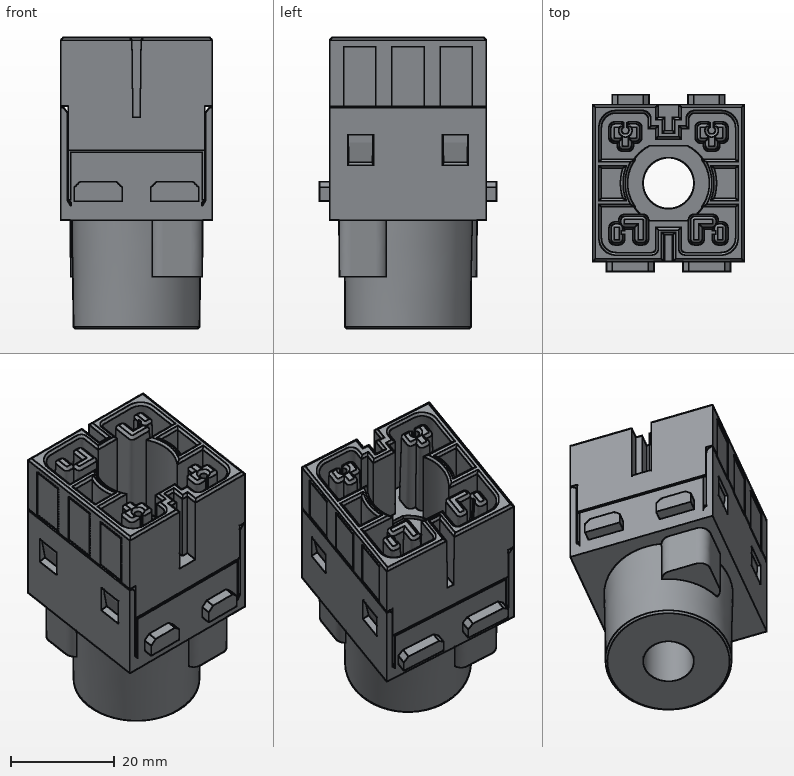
import cadquery as cq
import math

TOTAL_HEIGHT = 56.3
BODY_X = 29.3
BODY_Y = 30.3
BODY_HEIGHT = 35.3
BODY_BOTTOM = TOTAL_HEIGHT - BODY_HEIGHT
HALF_X = BODY_X / 2
HALF_Y = BODY_Y / 2
RIM_CHAMFER = 0.5
MARGIN = 1.0

SLEEVE_BOTTOM_D = 24.4
SLEEVE_TOP_D = 24.9
SLEEVE_CHAMFER = 0.4
BORE_D = 9.8

BLOCK_X_RANGE = (2.8, 12.8)
BLOCK_Y_RANGE = (3.9, 13.35)
BLOCK_HEIGHT = 10.95
BLOCK_CORNER_R = 2.2
BLOCK_DRAFT = 0.4

LUG_BOTTOM = 24.7
LUG_HEIGHT = 3.75
LUG_CHAMFER = 1.1
LUG_REACH = 34.2 / 2
FRONT_LUG_X = (2.8, 12.0)
BACK_LUG_X = (3.75, 10.9)

CHAMBER_DEPTH = 20.0
CHAMBER_FLOOR = TOTAL_HEIGHT - CHAMBER_DEPTH
CHAMBER_HALF_X = 12.95
CHAMBER_BACK_Y = 13.55
CHAMBER_FRONT_Y = -13.4
CHAMBER_CORNER_R = 2.8
RING_INNER_R = 7.9
RING_OUTER_R = 9.3
RIB_OUTER_Y = 4.6
RIB_INNER_Y = 2.9
SEAT_R = 8.1
SEAT_HALF_Y = 7.25
SEAT_DEPTH = 1.0

KEY_DEPTH = 15.4
FRONT_KEY_HALF_X = 0.9
FRONT_KEY_FOOT_HALF_X = 0.7
FRONT_KEY_END_Y = -9.95
FRONT_BOSS_HALF_X = 2.45
FRONT_BOSS_END_Y = -8.55
FRONT_BOSS_CORNER_R = 0.8
BACK_KEY_HALF_X = 2.0
BACK_KEY_STEP_Y = 12.75
BACK_KEY_NECK_HALF_X = 0.75
BACK_KEY_END_Y = 10.15
BACK_BOSS_HALF_X = 3.9
BACK_BOSS_STEP_Y = 10.55
BACK_BOSS_NECK_HALF_X = 2.5
BACK_BOSS_END_Y = 8.5
BACK_BOSS_CORNER_R = 1.2

POST_TOP = TOTAL_HEIGHT - 0.1
POST_CHAMFER = 0.6
POST_DRAFT = 1.2
POST_CORNER_R = 1.2
HEART_X = 8.33
HEART_HALF_X = 3.2
HEART_Y_RANGE = (7.7, 11.85)
HEART_TIP_HALF_X = 1.6
HEART_TIP_Y = 6.12
HEART_NOTCH_Y = 10.2
HEART_NOTCH_R = 0.7
HEART_SLIT_HALF_X = 0.3
ARCH_OUTER_X = 11.5
ARCH_INNER_X = 3.85
ARCH_LEG_WIDTH = 3.05
ARCH_LEG_BOTTOM = -11.95
ARCH_OUTER_LEG_TOP = -7.47
ARCH_BRIDGE_TOP = -6.0
ARCH_BRIDGE_OUTER_X = 9.6
ARCH_GAP_TOP = -8.9
ARCH_POCKET_X = 9.1
ARCH_POCKET_Y_RANGE = (-9.9, -9.2)

STEP_Z = TOTAL_HEIGHT - 13.25
PLATE_TOP = TOTAL_HEIGHT - 13.58
INSERT_DEPTH = 1.42
PLATE_THICKNESS = 1.28
PLATE_LEAD_X = 0.6
PLATE_LEAD_Z = 0.9
SLIT_FOOT_Z = TOTAL_HEIGHT - 31.4
SLIT_END_Z = TOTAL_HEIGHT - 32.5
SLIT_END_DEPTH = 1.95
SLIT_END_TOP_Z = SLIT_END_Z + 0.6

GROOVE_TOP = TOTAL_HEIGHT - 21.8
GROOVE_WIDTH = 0.4
GROOVE_DEPTH = 0.4

RECESS_TOP = TOTAL_HEIGHT - 1.82
RECESS_WIDTH = 6.2
RECESS_PITCH = 9.36
RECESS_DEPTH = 0.2
WINDOW_Y = 9.15
WINDOW_WIDTH = 5.0
WINDOW_TOP = TOTAL_HEIGHT - 18.8
WINDOW_BOTTOM = TOTAL_HEIGHT - 24.7
WINDOW_SIDE_TAPER = 0.3
LATCH_LAND_DEPTH = 0.6
LATCH_RAMP_DEPTH = 1.15
LATCH_LAND_END = TOTAL_HEIGHT - 20.25
LATCH_RAMP_END = TOTAL_HEIGHT - 24.1


def block(x_range, y_range, z_range):
    """Axis-aligned box between the given limits."""
    return (
        cq.Workplane("XY")
        .box(x_range[1] - x_range[0], y_range[1] - y_range[0], z_range[1] - z_range[0], centered=False)
        .translate((x_range[0], y_range[0], z_range[0]))
    )


def cylinder(radius, z_range):
    """Upright cylinder on the central axis."""
    return cq.Workplane("XY").workplane(offset=z_range[0]).circle(radius).extrude(z_range[1] - z_range[0])


def mirrored_x(solid):
    """The solid together with its mirror image across the YZ plane."""
    return solid.union(solid.mirror("YZ"))


def prism_along_y(points, y_range):
    """XZ outline swept between two Y positions."""
    length = y_range[1] - y_range[0]
    return cq.Workplane("XZ", origin=(0, y_range[1], 0)).polyline(points).close().extrude(length)


def make_sleeve():
    sleeve = (
        cq.Workplane("XY")
        .circle(SLEEVE_BOTTOM_D / 2)
        .workplane(offset=BODY_BOTTOM)
        .circle(SLEEVE_TOP_D / 2)
        .loft()
    )
    return sleeve.faces("<Z").edges().chamfer(SLEEVE_CHAMFER)


def make_keying_blocks():
    """Two rounded blocks on opposite corners of the sleeve, half a turn apart."""
    width = BLOCK_X_RANGE[1] - BLOCK_X_RANGE[0]
    depth = BLOCK_Y_RANGE[1] - BLOCK_Y_RANGE[0]
    keying = (
        cq.Workplane("XY", origin=(sum(BLOCK_X_RANGE) / 2, -sum(BLOCK_Y_RANGE) / 2, BODY_BOTTOM))
        .sketch()
        .rect(width, depth)
        .vertices()
        .fillet(BLOCK_CORNER_R)
        .finalize()
        .extrude(-BLOCK_HEIGHT, taper=BLOCK_DRAFT)
    )
    return keying.union(keying.rotate((0, 0, 0), (0, 0, 1), 180))


def make_lug(x_range, y_range):
    lug = block(x_range, y_range, (LUG_BOTTOM, LUG_BOTTOM + LUG_HEIGHT))
    return lug.faces(">Z").edges("|Y").chamfer(LUG_CHAMFER)


def make_lugs():
    front = make_lug(FRONT_LUG_X, (-LUG_REACH, -HALF_Y))
    back = make_lug(BACK_LUG_X, (HALF_Y, LUG_REACH))
    return mirrored_x(front.union(back))


def make_chamber():
    """Cutter for the open chamber, leaving the ribs, ring walls and key bosses standing."""
    levels = (CHAMBER_FLOOR, TOTAL_HEIGHT)
    chamber = block((-CHAMBER_HALF_X, CHAMBER_HALF_X), (CHAMBER_FRONT_Y, CHAMBER_BACK_Y), levels)
    chamber = chamber.edges("|Z").fillet(CHAMBER_CORNER_R)

    ribs = block((-CHAMBER_HALF_X, CHAMBER_HALF_X), (-RIB_OUTER_Y, RIB_OUTER_Y), levels)
    ribs = ribs.cut(cylinder(RING_INNER_R, levels))
    side_pockets = block((-CHAMBER_HALF_X, CHAMBER_HALF_X), (-RIB_INNER_Y, RIB_INNER_Y), levels)
    side_pockets = side_pockets.cut(cylinder(RING_OUTER_R, levels))

    front_boss = block(
        (-FRONT_BOSS_HALF_X, FRONT_BOSS_HALF_X), (CHAMBER_FRONT_Y, FRONT_BOSS_END_Y), levels
    )
    back_boss = block((-BACK_BOSS_HALF_X, BACK_BOSS_HALF_X), (BACK_BOSS_STEP_Y, CHAMBER_BACK_Y), levels)
    back_neck = block(
        (-BACK_BOSS_NECK_HALF_X, BACK_BOSS_NECK_HALF_X), (BACK_BOSS_END_Y, CHAMBER_BACK_Y), levels
    )
    chamber = chamber.cut(ribs.cut(side_pockets)).cut(front_boss).cut(back_boss).cut(back_neck)

    middle = (CHAMBER_FLOOR + TOTAL_HEIGHT) / 2
    for side in (-1, 1):
        front_corner = (side * FRONT_BOSS_HALF_X, CHAMBER_FRONT_Y, middle)
        back_corner = (side * BACK_BOSS_HALF_X, CHAMBER_BACK_Y, middle)
        chamber = chamber.edges(cq.NearestToPointSelector(front_corner)).fillet(FRONT_BOSS_CORNER_R)
        chamber = chamber.edges(cq.NearestToPointSelector(back_corner)).fillet(BACK_BOSS_CORNER_R)
    return chamber


def make_seat():
    """Round seat with two flats, sunk in the chamber floor around the bore."""
    levels = (CHAMBER_FLOOR - SEAT_DEPTH, CHAMBER_FLOOR)
    flats = block((-SEAT_R, SEAT_R), (-SEAT_HALF_Y, SEAT_HALF_Y), levels)
    return cylinder(SEAT_R, levels).intersect(flats)


def make_front_key():
    outline = [
        (-FRONT_KEY_FOOT_HALF_X, TOTAL_HEIGHT - KEY_DEPTH),
        (FRONT_KEY_FOOT_HALF_X, TOTAL_HEIGHT - KEY_DEPTH),
        (FRONT_KEY_HALF_X, TOTAL_HEIGHT),
        (-FRONT_KEY_HALF_X, TOTAL_HEIGHT),
    ]
    return prism_along_y(outline, (-HALF_Y - MARGIN, FRONT_KEY_END_Y))


def make_back_key():
    levels = (TOTAL_HEIGHT - KEY_DEPTH, TOTAL_HEIGHT)
    mouth = block((-BACK_KEY_HALF_X, BACK_KEY_HALF_X), (BACK_KEY_STEP_Y, HALF_Y + MARGIN), levels)
    neck = block((-BACK_KEY_NECK_HALF_X, BACK_KEY_NECK_HALF_X), (BACK_KEY_END_Y, HALF_Y), levels)
    return mouth.union(neck)


def make_post(x_range, y_range):
    """Rounded post on the chamber floor with slight draft and a chamfered top."""
    height = POST_TOP - CHAMBER_FLOOR
    post = (
        cq.Workplane("XY", origin=(sum(x_range) / 2, sum(y_range) / 2, CHAMBER_FLOOR))
        .sketch()
        .rect(x_range[1] - x_range[0], y_range[1] - y_range[0])
        .vertices()
        .fillet(POST_CORNER_R)
        .finalize()
        .extrude(height, taper=POST_DRAFT)
    )
    return post.faces(">Z").edges().chamfer(POST_CHAMFER)


def make_heart_contact():
    """Contact at the back: two lobes and a tip, with a round notch open toward the back."""
    levels = (CHAMBER_FLOOR, POST_TOP)
    overlap = HEART_SLIT_HALF_X
    left_lobe = make_post((HEART_X - HEART_HALF_X, HEART_X + overlap), HEART_Y_RANGE)
    right_lobe = make_post((HEART_X - overlap, HEART_X + HEART_HALF_X), HEART_Y_RANGE)
    tip = make_post(
        (HEART_X - HEART_TIP_HALF_X, HEART_X + HEART_TIP_HALF_X), (HEART_TIP_Y, HEART_NOTCH_Y)
    )
    notch = cylinder(HEART_NOTCH_R, levels).translate((HEART_X, HEART_NOTCH_Y, 0))
    slit = block(
        (HEART_X - HEART_SLIT_HALF_X, HEART_X + HEART_SLIT_HALF_X),
        (HEART_NOTCH_Y, HEART_Y_RANGE[1]),
        levels,
    )
    notch_rim = (
        cq.Workplane("XY", origin=(HEART_X, HEART_NOTCH_Y, POST_TOP))
        .circle(HEART_NOTCH_R + POST_CHAMFER)
        .extrude(-POST_CHAMFER, taper=45)
    )
    return left_lobe.union(right_lobe).union(tip).cut(notch).cut(slit).cut(notch_rim)


def make_arch_contact():
    """Contact at the front: two legs joined by a bridge, with a small side pocket in the outer leg."""
    outer_leg = make_post(
        (ARCH_OUTER_X - ARCH_LEG_WIDTH, ARCH_OUTER_X), (ARCH_LEG_BOTTOM, ARCH_OUTER_LEG_TOP)
    )
    inner_leg = make_post(
        (ARCH_INNER_X, ARCH_INNER_X + ARCH_LEG_WIDTH), (ARCH_LEG_BOTTOM, ARCH_BRIDGE_TOP)
    )
    bridge = make_post((ARCH_INNER_X, ARCH_BRIDGE_OUTER_X), (ARCH_GAP_TOP, ARCH_BRIDGE_TOP))
    pocket = block(
        (ARCH_INNER_X + ARCH_LEG_WIDTH, ARCH_POCKET_X), ARCH_POCKET_Y_RANGE, (CHAMBER_FLOOR, POST_TOP)
    )
    return outer_leg.union(inner_leg).union(bridge).cut(pocket)


def make_plate_slit():
    """Gap on the -X side that frees the outer plate from the insert."""
    outline = [
        (-HALF_X - MARGIN, STEP_Z),
        (-HALF_X + INSERT_DEPTH, STEP_Z),
        (-HALF_X + INSERT_DEPTH, SLIT_FOOT_Z),
        (-HALF_X + SLIT_END_DEPTH, SLIT_END_TOP_Z),
        (-HALF_X + SLIT_END_DEPTH, SLIT_END_Z),
        (-HALF_X + PLATE_THICKNESS, SLIT_FOOT_Z),
        (-HALF_X + PLATE_THICKNESS, PLATE_TOP - PLATE_LEAD_Z),
        (-HALF_X + PLATE_LEAD_X, PLATE_TOP),
        (-HALF_X - MARGIN, PLATE_TOP),
    ]
    return prism_along_y(outline, (-HALF_Y - MARGIN, HALF_Y + MARGIN))


def make_side_recesses():
    recesses = cq.Workplane("XY")
    for index in (-1, 0, 1):
        center_y = index * RECESS_PITCH
        recess = block(
            (-HALF_X - MARGIN, -HALF_X + RECESS_DEPTH),
            (center_y - RECESS_WIDTH / 2, center_y + RECESS_WIDTH / 2),
            (STEP_Z, RECESS_TOP),
        )
        recesses = recesses.add(recess)
    return recesses.combine()


def make_latch_windows():
    """Windows in the -X plate; the latch behind each has an upright land and a ramp."""
    outline = [
        (-HALF_X, WINDOW_TOP),
        (-HALF_X + LATCH_LAND_DEPTH, WINDOW_TOP),
        (-HALF_X + LATCH_LAND_DEPTH, LATCH_LAND_END),
        (-HALF_X + LATCH_RAMP_DEPTH, LATCH_RAMP_END),
        (-HALF_X, WINDOW_BOTTOM),
    ]
    taper = math.degrees(math.atan2(WINDOW_SIDE_TAPER, INSERT_DEPTH))
    window_height = 2 * (WINDOW_TOP - WINDOW_BOTTOM)
    funnel = (
        cq.Workplane("YZ", origin=(-HALF_X, 0, (WINDOW_TOP + WINDOW_BOTTOM) / 2))
        .rect(WINDOW_WIDTH, window_height)
        .extrude(INSERT_DEPTH, taper=taper)
    )
    window = prism_along_y(outline, (-WINDOW_WIDTH / 2, WINDOW_WIDTH / 2)).intersect(funnel)
    front = window.translate((0, -WINDOW_Y, 0))
    back = window.translate((0, WINDOW_Y, 0))
    return front.union(back)


def make_joint_groove():
    """Shallow inverted-U groove between the shell wall and the insert on the front face."""
    outer_x = HALF_X - INSERT_DEPTH
    inner_x = HALF_X - SLIT_END_DEPTH
    y_range = (-HALF_Y - MARGIN, -HALF_Y + GROOVE_DEPTH)
    frame = block((-outer_x, outer_x), y_range, (SLIT_FOOT_Z, GROOVE_TOP))
    panel = block((-inner_x, inner_x), y_range, (SLIT_FOOT_Z, GROOVE_TOP - GROOVE_WIDTH))
    return frame.cut(panel)


body = block((-HALF_X, HALF_X), (-HALF_Y, HALF_Y), (BODY_BOTTOM, TOTAL_HEIGHT))
body = body.cut(make_chamber()).cut(make_front_key()).cut(make_back_key())
body = body.faces(">Z").edges().chamfer(RIM_CHAMFER)

front_groove = make_joint_groove()
body = body.cut(front_groove).cut(front_groove.mirror("XZ"))
body = body.cut(mirrored_x(make_plate_slit()))
body = body.cut(mirrored_x(make_side_recesses()))
body = body.cut(mirrored_x(make_latch_windows()))

result = body.union(make_sleeve()).union(make_keying_blocks()).union(make_lugs())
result = result.cut(make_seat()).cut(cylinder(BORE_D / 2, (-MARGIN, TOTAL_HEIGHT)))
result = result.union(mirrored_x(make_heart_contact())).union(mirrored_x(make_arch_contact()))